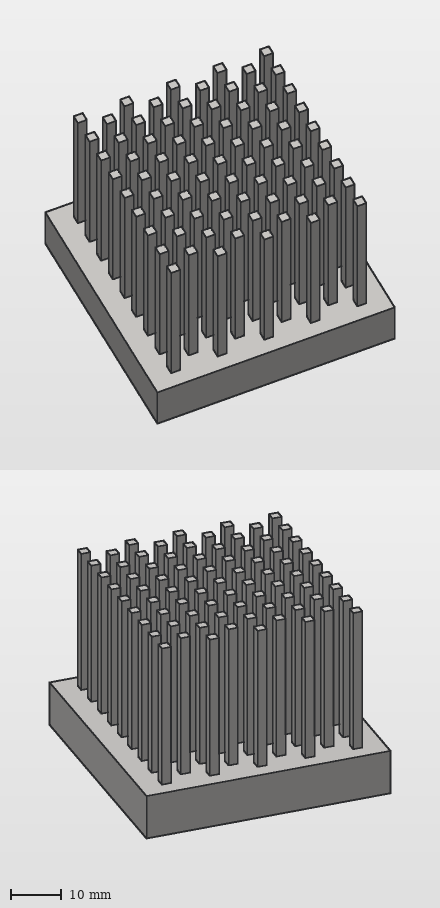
import cadquery as cq

base_side = 52.0
total_height = 40.0
base_height = 9.5

pin_side = 2.0
pin_pitch = 5.4
row_pitch = 5.1
row_count = 9
long_row_pins = 9
short_row_pins = long_row_pins - 1
pin_height = total_height - base_height


def row_points(row):
    """Pin centres of one row; long and short rows alternate, each centred on X = 0."""
    pin_count = long_row_pins if row % 2 == 0 else short_row_pins
    y = (row - (row_count - 1) / 2) * row_pitch
    return [((i - (pin_count - 1) / 2) * pin_pitch, y) for i in range(pin_count)]


pin_points = [point for row in range(row_count) for point in row_points(row)]

base = cq.Workplane("XY").box(base_side, base_side, base_height, centered=(True, True, False))

result = (
    base.faces(">Z")
    .workplane()
    .pushPoints(pin_points)
    .rect(pin_side, pin_side)
    .extrude(pin_height)
)